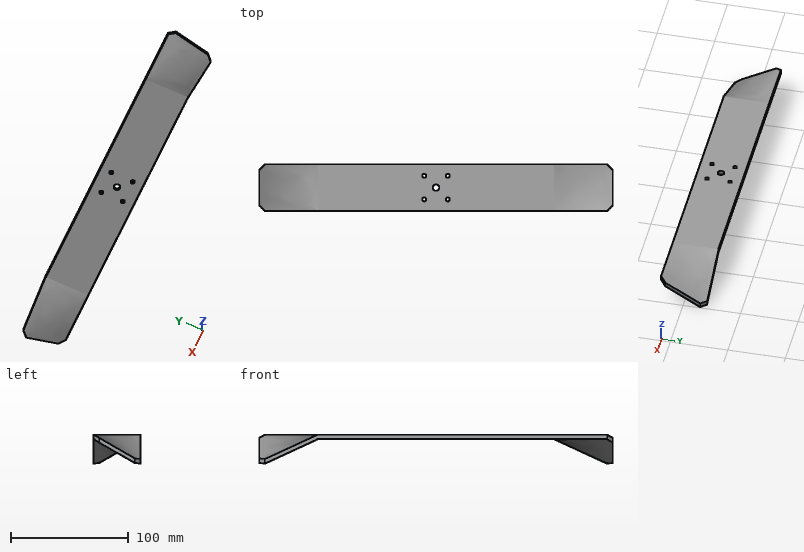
import cadquery as cq
import math

length = 300.0
width = 40.0
thickness = 4.0

tip_length = 50.0
tip_angle = 30.0
tip_drop = width * math.tan(math.radians(tip_angle))
corner_chamfer = 5.0

edge_break = 0.3

centre_hole_diameter = 5.3
bolt_hole_diameter = 3.2
bolt_spacing = 20.0

flat_length = length - 2 * tip_length


def make_flat():
    """Flat middle of the bar."""
    flat = cq.Workplane("XY").box(flat_length, width, thickness)
    return flat.translate((0, 0, -thickness / 2))


def section_points(drop):
    """Cross-section in (y, z): level along +Y, lowered by drop along -Y, with vertical sides."""
    return [
        (width / 2, 0),
        (-width / 2, -drop),
        (-width / 2, -drop - thickness),
        (width / 2, -thickness),
    ]


def make_left_tip():
    """Tip at the -X end: a ruled twist from the flat section to the tilted one."""
    return (
        cq.Workplane("YZ", origin=(-flat_length / 2, 0, 0))
        .polyline(section_points(0))
        .close()
        .workplane(offset=-tip_length)
        .polyline(section_points(tip_drop))
        .close()
        .loft(ruled=True)
    )


def make_plan_trim():
    """Tall block with the plan outline, cutting the four end corners at 45 degrees."""
    height = 2 * (tip_drop + thickness)
    return cq.Workplane("XY").box(length, width, height).edges("|Z").chamfer(corner_chamfer)


def make_edge_wedge(edge_z, inward):
    """Wedge along the straight +Y edge, from the -X end to the start of the +X tip's twist."""
    edge_y = width / 2
    return (
        cq.Workplane("YZ", origin=(-length / 2, 0, 0))
        .polyline([(edge_y, edge_z), (edge_y - edge_break, edge_z), (edge_y, edge_z + inward * edge_break)])
        .close()
        .extrude(length - tip_length)
    )


def half_turn(body):
    """Copy of a body turned 180 degrees about the blade's vertical axis."""
    return body.rotate((0, 0, 0), (0, 0, 1), 180)


def break_straight_edges(body):
    """Chamfer the top and bottom of both straight long edges; the twisted edges stay sharp."""
    for edge_z, inward in [(0, -1), (-thickness, 1)]:
        wedge = make_edge_wedge(edge_z, inward)
        body = body.cut(wedge).cut(half_turn(wedge))
    return body


def drill_holes(body):
    """Centre hole and a square of four bolt holes, all through the flat."""
    centre_hole = cq.Workplane("XY").circle(centre_hole_diameter / 2).extrude(-thickness)
    bolt_holes = (
        cq.Workplane("XY")
        .rect(bolt_spacing, bolt_spacing, forConstruction=True)
        .vertices()
        .circle(bolt_hole_diameter / 2)
        .extrude(-thickness)
    )
    return body.cut(centre_hole).cut(bolt_holes)


left_tip = make_left_tip()
blade = make_flat().union(left_tip).union(half_turn(left_tip))
blade = blade.intersect(make_plan_trim())
blade = break_straight_edges(blade)
result = drill_holes(blade)